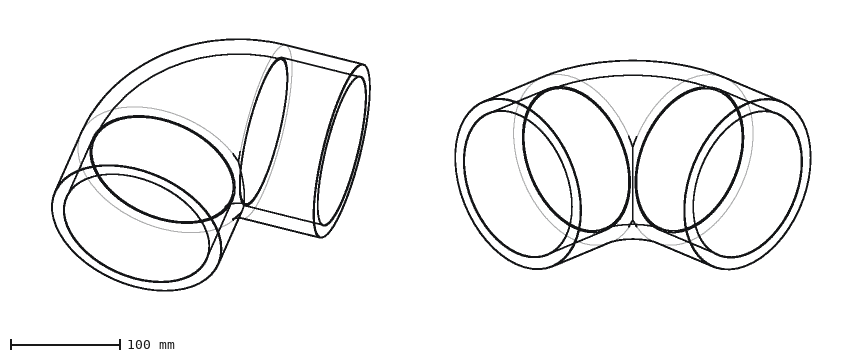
import cadquery as cq
import math

overall = 231.0
outer_diameter = 164.0
socket_diameter = 140.0
bore_diameter = 136.7
socket_length = 75.8
edge_chamfer = 0.5

outer_radius = outer_diameter / 2
leg_end = overall - outer_radius
bend_radius = leg_end - socket_length



def bend(diameter):
    """Quarter turn of a round section, starting at the -Y leg and ending at the +X leg."""
    radius = diameter / 2
    section = cq.Workplane("XZ", origin=(0, -bend_radius, 0))
    if radius > bend_radius:
        half_height = math.sqrt(radius**2 - bend_radius**2)
        section = (
            section.moveTo(bend_radius, half_height)
            .threePointArc((-radius, 0), (bend_radius, -half_height))
            .close()
        )
    else:
        section = section.circle(radius)
    return section.revolve(90, (bend_radius, 2.3, 0), (bend_radius, 0, 0))


def along_x(diameter):
    """Cylinder filling the +X leg."""
    return cq.Workplane("YZ", origin=(bend_radius, 0, 0)).circle(diameter / 2).extrude(socket_length)


def along_y(diameter):
    """Cylinder filling the -Y leg."""
    return cq.Workplane("XZ", origin=(0, -bend_radius, 0)).circle(diameter / 2).extrude(socket_length)


def elbow(bend_diameter, leg_diameter):
    """Solid elbow: the bend with a cylinder on each end."""
    return bend(bend_diameter).union(along_x(leg_diameter)).union(along_y(leg_diameter))


body = elbow(outer_diameter, outer_diameter).cut(elbow(bore_diameter, socket_diameter))

body = body.faces(">X").chamfer(edge_chamfer)
body = body.faces("<Y").chamfer(edge_chamfer)

center_shift = overall / 2 - outer_radius
result = body.translate((-center_shift, center_shift, 0))